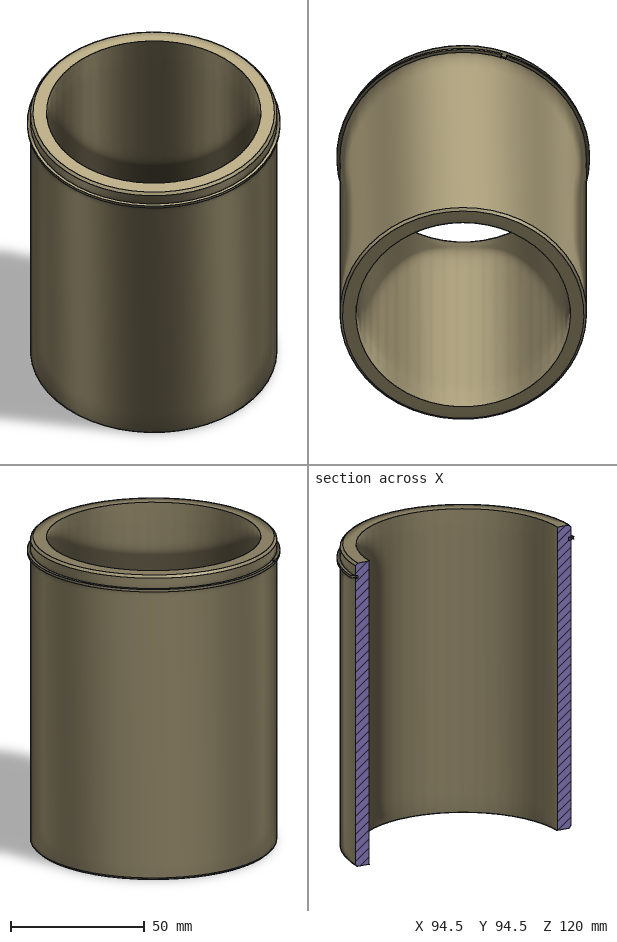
import cadquery as cq

sleeve_height = 120.0
sleeve_outer_diameter = 92.0
bore_diameter = 80.0
end_chamfer = 1.0

ring_outer_diameter = 94.5
groove_depth = 1.0
ring_thickness = 1.0
ring_top_setback = 5.0
ring_gap = 2.0

ring_inner_diameter = sleeve_outer_diameter - 2 * groove_depth
ring_bottom = sleeve_height - ring_top_setback - ring_thickness


def make_full_ring():
    """Closed flat ring reaching from the groove floor out past the sleeve's wall."""
    return (
        cq.Workplane("XY")
        .workplane(offset=ring_bottom)
        .circle(ring_outer_diameter / 2)
        .circle(ring_inner_diameter / 2)
        .extrude(ring_thickness)
    )


def make_sleeve():
    """Tube with both outer end edges chamfered and a groove that matches the ring."""
    body = cq.Workplane("XY").circle(sleeve_outer_diameter / 2).extrude(sleeve_height)
    body = body.faces("<Z or >Z").edges().chamfer(end_chamfer)
    bore = cq.Workplane("XY").circle(bore_diameter / 2).extrude(sleeve_height)
    return body.cut(bore).cut(make_full_ring())


def make_split_ring():
    """Flat ring in the sleeve's groove, open on the +Y side."""
    gap_cutter = (
        cq.Workplane("XY")
        .workplane(offset=ring_bottom)
        .center(0, ring_outer_diameter / 4)
        .rect(ring_gap, ring_outer_diameter / 2)
        .extrude(ring_thickness)
    )
    return make_full_ring().cut(gap_cutter)


sleeve = make_sleeve()
split_ring = make_split_ring()

result = cq.Compound.makeCompound([sleeve.val(), split_ring.val()])